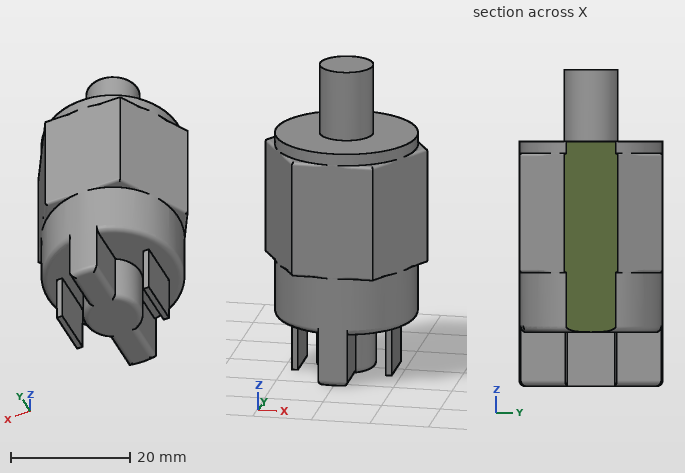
import cadquery as cq
import math

total_height = 53.0
prong_length = 9.0
base_height = 10.0
hex_height = 20.0
collar_height = 2.0

body_diameter = 24.0
hex_across_flats = body_diameter
rod_diameter = 9.0

post_diameter = 10.0
rib_thickness = 5.0
blade_thickness = 1.0
blade_width = 8.0
blade_offset = 8.0

bottom_round = 1.0
hex_round = 0.5

rim_overlap = 0.0025
fade_radius = body_diameter / 2 - rim_overlap
flat_distance = hex_across_flats / 2
fade_start = math.sqrt(fade_radius**2 - (flat_distance - hex_round) ** 2)
fade_sections = 5

base_bottom = prong_length
hex_bottom = base_bottom + base_height
hex_top = hex_bottom + hex_height
collar_top = hex_top + collar_height

root_level = base_bottom + base_height / 2


def cylinder(diameter, bottom, top):
    """Vertical cylinder about the Z axis."""
    return cq.Workplane("XY").workplane(offset=bottom).circle(diameter / 2).extrude(top - bottom)


def rim_profile(x):
    """Section across a flat's upper rim, at x from the middle of the flat, of the material to remove.

    The rounding rolls off the flat with a fixed radius. It stops at the round body, so it shrinks
    almost to nothing at the middle of the flat, where the body touches the flat.
    """
    inset = hex_round
    if x < fade_start:
        inset = flat_distance - math.sqrt(fade_radius**2 - x**2)
    drop = math.sqrt(hex_round**2 - (hex_round - inset) ** 2)
    sweep_angle = math.asin(drop / hex_round)
    middle_y = -flat_distance + hex_round - hex_round * math.cos(sweep_angle / 2)
    middle_z = hex_top - drop + hex_round * math.sin(sweep_angle / 2)
    outside_y = -flat_distance - hex_round
    above_z = hex_top + hex_round
    return (
        cq.Workplane("YZ", origin=(x, 0, 0))
        .moveTo(-flat_distance, hex_top - drop)
        .threePointArc((middle_y, middle_z), (inset - flat_distance, hex_top))
        .lineTo(inset - flat_distance, above_z)
        .lineTo(outside_y, above_z)
        .lineTo(outside_y, hex_top - drop)
        .close()
    )


def make_rim_cutter():
    """Cutter that rounds half of one flat's upper rim, from its middle to past the corner."""
    spacing = fade_start / (fade_sections - 1)
    sections = [rim_profile(i * spacing).wire().val() for i in range(fade_sections)]
    fading = cq.Workplane(cq.Solid.makeLoft(sections))
    straight = rim_profile(fade_start).extrude(flat_distance - fade_start)
    return fading.union(straight)


def make_hexagon():
    """Hexagonal wrench section, corners on X, with rounded rims that fade out mid-flat."""
    across_corners = hex_across_flats / math.cos(math.pi / 6)
    hexagon = cq.Workplane("XY").workplane(offset=hex_bottom).polygon(6, across_corners).extrude(hex_height)
    half_cutter = make_rim_cutter()
    middle_point = (0, 0, (hex_bottom + hex_top) / 2)
    for upper in (half_cutter, half_cutter.mirror("YZ")):
        for cutter in (upper, upper.mirror("XY", middle_point)):
            for flat in range(6):
                hexagon = hexagon.cut(cutter.rotate((0, 0, 0), (0, 0, 1), 60 * flat))
    return hexagon


def make_body():
    """Round body through the hexagon, from the base with its rounded bottom edge up to the collar."""
    return cylinder(body_diameter, base_bottom, collar_top).faces("<Z").edges().fillet(bottom_round)


def make_post_and_rib():
    """Central post crossed by a rib along Y that ends flush with the round body."""
    rib = (
        cq.Workplane("XY")
        .rect(rib_thickness, 2 * body_diameter)
        .extrude(root_level)
        .intersect(cylinder(body_diameter, 0, root_level))
    )
    post = cylinder(post_diameter, 0, root_level)
    return rib.union(post).faces("<Z").edges().fillet(bottom_round)


def make_blades():
    """Pair of flat contact blades, one on each side of the rib."""
    return (
        cq.Workplane("XY")
        .pushPoints([(-blade_offset, 0), (blade_offset, 0)])
        .rect(blade_thickness, blade_width)
        .extrude(root_level)
    )


def make_rod():
    """Plain rod standing on the collar."""
    return cylinder(rod_diameter, collar_top, total_height)


result = make_hexagon()
for part in (make_body(), make_rod(), make_post_and_rib(), make_blades()):
    result = result.union(part)